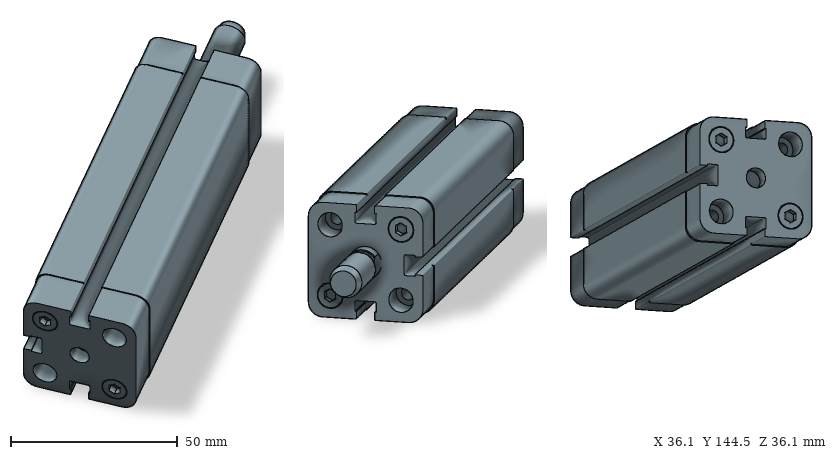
import cadquery as cq
import math

overall_length = 144.5
tube_width = 36.1
tube_corner_radius = 4.5
cap_inset = 0.3
cap_length = 12.4
body_length = 118.3

slotted_face_count = 3
slot_mouth_width = 5.6
slot_inner_width = 6.5
slot_depth = 6.0
slot_lip_depth = 2.7
mouth_edge_radius = 0.36
floor_corner_radius = 0.6

corner_hole_offset = 11.0
through_hole_diameter = 4.2
counterbore_diameter = 7.5
counterbore_depth = 8.7
screw_bore_diameter = 8.0
screw_head_diameter = counterbore_diameter
screw_head_height = 4.2
socket_width = 3.5
socket_depth = 2.3
center_hole_diameter = 6.0
center_hole_depth = 5.0

rod_diameter = 10.0
rod_flat_width = 8.0
flat_runout_radius = 0.9
shoulder_chamfer = 0.3
thread_length = 18.8
tip_diameter = 8.0
tip_chamfer_length = 2.9
neck_diameter = 8.0
neck_length = 3.0

back_y = -overall_length / 2
rod_tip_y = overall_length / 2
front_y = back_y + body_length
tube_start_y = back_y + cap_length
tube_end_y = front_y - cap_length
thread_end_y = rod_tip_y - thread_length
neck_end_y = thread_end_y - neck_length


def plane_at(y):
    """XZ plane at the given Y whose extrusions run toward +Y."""
    return cq.Plane(origin=(0, y, 0), xDir=(-1, 0, 0), normal=(0, 1, 0))


def cylinder(x, z, start_y, diameter, length):
    return cq.Workplane(plane_at(start_y)).center(-x, z).circle(diameter / 2).extrude(length)


def cut_t_slot(bar, width):
    """Cut a T-slot with rounded floor corners and mouth edges along the +Z face of a bar."""
    floor_z = tube_width / 2 - slot_depth
    inner_height = slot_depth - slot_lip_depth
    mouth = cq.Workplane("XY").box(slot_mouth_width, overall_length, slot_lip_depth)
    mouth = mouth.translate((0, 0, floor_z + inner_height + slot_lip_depth / 2))
    inner = cq.Workplane("XY").box(slot_inner_width, overall_length, inner_height)
    inner = inner.edges("|Y and <Z").fillet(floor_corner_radius)
    inner = inner.translate((0, 0, floor_z + inner_height / 2))
    near_mouth = cq.selectors.BoxSelector(
        (-slot_inner_width / 2, -overall_length, width / 2 - mouth_edge_radius),
        (slot_inner_width / 2, overall_length, width / 2 + mouth_edge_radius),
    )
    slotted = bar.cut(mouth.union(inner))
    return slotted.edges("|Y").edges(near_mouth).fillet(mouth_edge_radius)


def slotted_bar(start_y, end_y, width):
    """Square bar with rounded corners and T-slots on its top, bottom and -X faces."""
    bar = cq.Workplane(plane_at(start_y)).rect(width, width).extrude(end_y - start_y)
    bar = bar.edges("|Y").fillet(tube_corner_radius)
    for _ in range(slotted_face_count):
        bar = cut_t_slot(bar, width)
        bar = bar.rotate((0, 0, 0), (0, 1, 0), 90)
    return bar.rotate((0, 0, 0), (0, 1, 0), 90)


def mounting_hole(x, z):
    """Through hole counterbored at both ends."""
    hole = cylinder(x, z, back_y, through_hole_diameter, body_length)
    hole = hole.union(cylinder(x, z, back_y, counterbore_diameter, counterbore_depth))
    far_start_y = front_y - counterbore_depth
    return hole.union(cylinder(x, z, far_start_y, counterbore_diameter, counterbore_depth))


def screw_recess(x, z, end_y, inward):
    """Gap around a flush socket-head screw, plus its hex socket."""
    gap = cylinder(x, z, end_y, screw_bore_diameter, inward * screw_head_height)
    gap = gap.cut(cylinder(x, z, end_y, screw_head_diameter, inward * screw_head_height))
    socket = (
        cq.Workplane(plane_at(end_y))
        .center(-x, z)
        .transformed(rotate=(0, 0, 30))
        .polygon(6, socket_width / math.cos(math.pi / 6))
        .extrude(inward * socket_depth)
    )
    return gap.union(socket)


def rod_flat(side):
    """Cutter for a wrench flat on the -X or +X side, with a rounded run-out at the front cap."""
    flat_depth = (rod_diameter - rod_flat_width) / 2
    flat_length = neck_end_y - front_y
    cutter = cq.Workplane("XY").box(flat_depth, flat_length, rod_diameter)
    cutter = cutter.edges("<X and <Y").fillet(flat_runout_radius)
    cutter = cutter.translate(((rod_flat_width + flat_depth) / 2, (neck_end_y + front_y) / 2, 0))
    return cutter if side > 0 else cutter.mirror("YZ")


def piston_rod():
    """Rod turned about Y, with a 45 degree taper behind the thread and two wrench flats."""
    rod_radius = rod_diameter / 2
    neck_radius = neck_diameter / 2
    half_profile = [
        (0, tube_end_y),
        (rod_radius, tube_end_y),
        (rod_radius, neck_end_y - shoulder_chamfer),
        (rod_radius - shoulder_chamfer, neck_end_y),
        (neck_radius, neck_end_y),
        (neck_radius, thread_end_y - (rod_radius - neck_radius)),
        (rod_radius, thread_end_y),
        (rod_radius, rod_tip_y - tip_chamfer_length),
        (tip_diameter / 2, rod_tip_y),
        (0, rod_tip_y),
    ]
    rod = cq.Workplane("XY").polyline(half_profile).close().revolve(360, (0, 0, 0), (0, 1, 0))
    for side in (-1, 1):
        rod = rod.cut(rod_flat(side))
    return rod


cap_width = tube_width - 2 * cap_inset
body = slotted_bar(tube_start_y, tube_end_y, tube_width)
body = body.union(slotted_bar(back_y, tube_start_y, cap_width))
body = body.union(slotted_bar(tube_end_y, front_y, cap_width))

for side in (-1, 1):
    x = side * corner_hole_offset
    body = body.cut(mounting_hole(x, x))
    body = body.cut(screw_recess(x, -x, back_y, 1))
    body = body.cut(screw_recess(x, -x, front_y, -1))

body = body.cut(cylinder(0, 0, back_y, center_hole_diameter, center_hole_depth))

result = body.union(piston_rod())